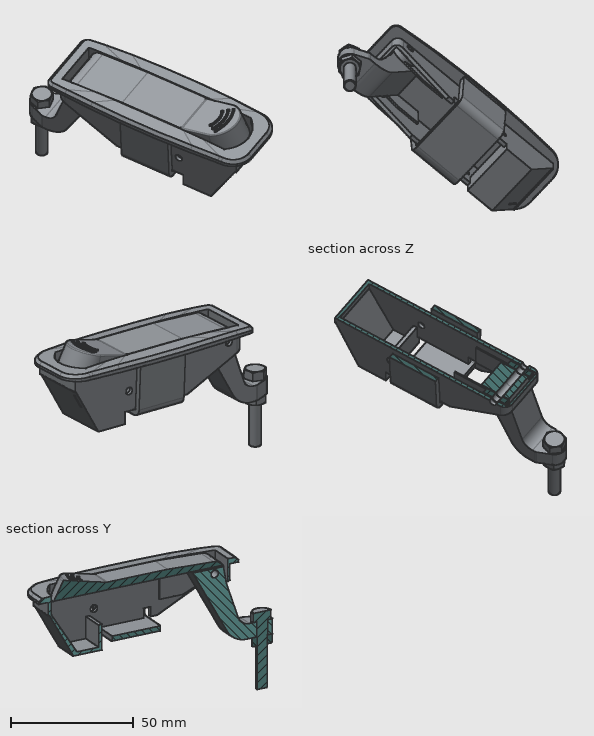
import cadquery as cq
import math


bezel_length = 93.1
bezel_width = 35.0
bezel_half_width = bezel_width / 2
bezel_left_half_width = 15.3
bezel_right_half_width = 15.9
bezel_left_radius = 3.3
bezel_right_radius = 9.0
bezel_height = 3.6
bezel_chamfer = 1.3

side_slope = 0.09
end_slope = 0.047
blend_side_slope = 0.056
blend_end_slope = 0.024
left_crease_x = 25.4
right_crease_x = 67.1
blend_offset = 4.6

opening_left = 5.1
opening_half_width = 10.4
opening_straight_end = 82.3
opening_right = 87.2

box_left = 3.9
box_right = 88.9
box_half_width = 12.1
box_corner_radius = 3.4
wall = 1.7
left_wall_bottom = -7.1
floor_z = -20.6
slope_end_x = 32.2
tail_left = 63.7
tail_right = 77.1
tail_bottom = -25.9
rear_step_x = 88.4
rear_wall_bottom = -5.7
tail_front_wall_top = -14.5

pin_hole_diameter = 3.2
pivot_x = 11.1
pivot_z = -2.9
rear_hole_x = 61.6
rear_hole_z = -11.8

notch_left = 35.1
notch_length = 3.3
notch_height = 4.3
slot_y = 8.6
slot_width = 0.7
slot_top = -8.7

strap_left = 36.4
strap_length = 22.7
strap_thickness = 2.4
strap_top_half_width = 16.6
strap_bottom_half_width = 15.4
strap_outer_radius = 3.6
strap_inner_radius = 0.9

handle_half_width = 10.0
hub_x = 11.8
hub_radius = 5.6
handle_flat_start = 33.2
handle_underside = 0.0
pad_seam_x = 61.0
pad_start = 61.5
pad_angle = 13.6
pad_blend_radius = 2.2
pad_top_right = 81.3
pad_top_z = 9.3
pad_top_straight_end = 73.8
pad_base_straight_end = 76.3
pad_base_right = 86.3
pad_edge_radius = 0.5
cheek_inner_y = 7.3
cheek_thickness = 0.8
cheek_bottom = -12.4
cheek_slope_end = 21.8
cheek_right = 32.7

ridge_width = 0.8
ridge_end_diameter = 1.2
ridge_height = 0.3
ridge_end_xs = (72.3, 74.2, 76.1)
ridge_half_spans = (4.5, 5.9, 7.0)
ridge_bulges = (1.1, 1.4, 1.6)

arm_half_width = 7.2
arm_top = -0.4
arm_top_left = 7.0
arm_knee_x = 5.6
arm_knee_z = -8.2
arm_inner_corner_x = -1.2
arm_outer_corner_x = 2.4
arm_rise = 22.3
arm_outer_run = 12.4
arm_inner_bend = 5.3
arm_outer_bend = 10.7
lug_top = -27.9
lug_bottom = -34.8
lug_radius = 4.9
lug_taper_end = -6.6
lug_shoulder_radius = 1.6

bolt_x = -11.0
shank_diameter = 5.0
shank_bottom = -57.9
shank_chamfer = 0.3
hex_flats = 8.3
head_height = 4.0
head_turn = 42.0
nut_height = 3.9
hex_bevel_diameter = 8.1
hex_bevel_angle = 30.0

pick_margin = 0.1


def side_profile(points, half_width):
    """Prism with an XZ outline, centred on the middle plane."""
    return cq.Workplane("XZ").polyline(points).close().extrude(half_width, both=True)


def edges_at(x, z):
    """Selector of the edges along Y that cross the middle plane at (x, z)."""
    return cq.selectors.BoxSelector(
        (x - pick_margin, -pick_margin, z - pick_margin), (x + pick_margin, pick_margin, z + pick_margin)
    )


def cross_hole(x, z):
    """Pin-hole cutter running through everything along Y."""
    return (
        cq.Workplane("XZ").center(x, z).circle(pin_hole_diameter / 2).extrude(box_half_width * 2, both=True)
    )


def above_plane(x, y, slope_x, slope_y):
    """Half space above a tilted plane that passes through (x, y) at the bezel height."""
    plane = cq.Plane(origin=(x, y, bezel_height), xDir=(1, 0, slope_x), normal=(-slope_x, -slope_y, 1))
    return cq.Workplane(plane).rect(4 * bezel_length, 4 * bezel_length).extrude(bezel_height * 4)


def make_bezel():
    straight_end = bezel_length - bezel_right_radius
    middle_x = bezel_length / 2
    bezel = (
        cq.Workplane("XY")
        .moveTo(0, -bezel_left_half_width)
        .threePointArc((middle_x, -bezel_half_width), (straight_end, -bezel_right_half_width))
        .radiusArc((bezel_length, bezel_right_radius - bezel_right_half_width), -bezel_right_radius)
        .lineTo(bezel_length, bezel_right_half_width - bezel_right_radius)
        .radiusArc((straight_end, bezel_right_half_width), -bezel_right_radius)
        .threePointArc((middle_x, bezel_half_width), (0, bezel_left_half_width))
        .close()
        .extrude(bezel_height)
        .edges("|Z and <X")
        .fillet(bezel_left_radius)
    )
    for crease_x, fall in ((left_crease_x, end_slope), (right_crease_x, -end_slope)):
        bezel = bezel.cut(above_plane(crease_x, 0, fall, 0))
    for side in (-1, 1):
        edge_y = side * opening_half_width
        bezel = bezel.cut(above_plane(middle_x, edge_y, 0, -side * side_slope))
        for blend_x, fall in (
            (left_crease_x + blend_offset, blend_end_slope),
            (right_crease_x - blend_offset, -blend_end_slope),
        ):
            bezel = bezel.cut(above_plane(blend_x, edge_y, fall, -side * blend_side_slope))
    inner_y = bezel_left_half_width - bezel_chamfer / 2
    creases = cq.selectors.BoxSelector(
        (bezel_chamfer, -inner_y, 0), (opening_right, inner_y, 2 * bezel_height)
    )
    upper_edges = cq.selectors.BoxSelector(
        (-pick_margin, -2 * bezel_half_width, bezel_height / 2 + pick_margin),
        (bezel_length + pick_margin, 2 * bezel_half_width, 2 * bezel_height),
    )
    return bezel.edges(upper_edges - creases).chamfer(bezel_chamfer)


def make_box():
    outer = side_profile(
        [
            (box_left, 0),
            (box_left, left_wall_bottom),
            (slope_end_x, floor_z),
            (tail_left, floor_z),
            (tail_left, tail_bottom),
            (tail_right, tail_bottom),
            (rear_step_x, rear_wall_bottom),
            (box_right, rear_wall_bottom),
            (box_right, 0),
        ],
        box_half_width,
    )
    return outer.edges("|Z and <X").fillet(box_corner_radius)


def make_cavity():
    return side_profile(
        [
            (opening_left, 0),
            (opening_left, tail_bottom),
            (tail_left, tail_bottom),
            (tail_left, tail_front_wall_top),
            (tail_left + wall, tail_front_wall_top),
            (tail_left + wall, tail_bottom + wall),
            (tail_right - wall, tail_bottom + wall),
            (box_right - wall, rear_wall_bottom),
            (box_right - wall, 0),
        ],
        opening_half_width,
    )


def make_opening():
    return (
        cq.Workplane("XY")
        .moveTo(opening_left, -opening_half_width)
        .lineTo(opening_straight_end, -opening_half_width)
        .threePointArc((opening_right, 0), (opening_straight_end, opening_half_width))
        .lineTo(opening_left, opening_half_width)
        .close()
        .extrude(2 * bezel_height)
    )


def make_housing():
    notch = (
        cq.Workplane("XY", origin=(notch_left, -box_half_width, floor_z))
        .box(notch_length, 2 * wall, notch_height, centered=(False, True, False))
    )
    slot_size = (box_right - tail_right, slot_width, slot_top - tail_front_wall_top)
    slot = (
        cq.Workplane("XY", origin=(tail_right, slot_y, tail_front_wall_top))
        .box(*slot_size, centered=(False, True, False))
    )
    return (
        make_bezel()
        .union(make_box())
        .cut(make_cavity())
        .cut(make_opening())
        .cut(cross_hole(pivot_x, pivot_z))
        .cut(cross_hole(rear_hole_x, rear_hole_z))
        .cut(notch)
        .cut(slot)
    )


def strap_prism(half_top, half_bottom, bottom_z, radius):
    """Solid prism along X, narrowing downwards from Z = 0, with round bottom corners."""
    return (
        cq.Workplane("YZ", origin=(strap_left, 0, 0))
        .polyline([(-half_top, 0), (-half_bottom, bottom_z), (half_bottom, bottom_z), (half_top, 0)])
        .close()
        .extrude(strap_length)
        .edges("|X and <Z")
        .fillet(radius)
    )


def make_strap():
    outer = strap_prism(
        strap_top_half_width, strap_bottom_half_width, floor_z - strap_thickness, strap_outer_radius
    )
    inner = strap_prism(
        strap_top_half_width - strap_thickness,
        strap_bottom_half_width - strap_thickness,
        floor_z,
        strap_inner_radius,
    )
    return outer.cut(inner)


def pad_plan(z, straight_end, right):
    """Plan wire of the pad at height z, with a round right end."""
    return (
        cq.Workplane("XY", origin=(0, 0, z))
        .moveTo(pad_seam_x, -handle_half_width)
        .lineTo(straight_end, -handle_half_width)
        .threePointArc((right, 0), (straight_end, handle_half_width))
        .lineTo(pad_seam_x, handle_half_width)
        .close()
        .val()
    )


def make_ridge(end_x, half_span, bulge):
    """Curved upright bar with round ends, later trimmed to the pad slope."""
    left_x = end_x - ridge_width / 2
    right_x = end_x + ridge_width / 2
    bar = (
        cq.Workplane("XY")
        .moveTo(left_x, -half_span)
        .threePointArc((left_x + bulge, 0), (left_x, half_span))
        .lineTo(right_x, half_span)
        .threePointArc((right_x + bulge, 0), (right_x, -half_span))
        .close()
        .extrude(pad_top_z)
    )
    ends = (
        cq.Workplane("XY")
        .pushPoints([(end_x, -half_span), (end_x, half_span)])
        .circle(ridge_end_diameter / 2)
        .extrude(pad_top_z)
    )
    return bar.union(ends)


def make_pad(slope_end_x, slope_end_z):
    """Sloping thumb pad with a rounded rim and a tapered, round right end."""
    plan = cq.Workplane(
        cq.Solid.makeLoft(
            [
                pad_plan(handle_underside, pad_base_straight_end, pad_base_right),
                pad_plan(pad_top_z, pad_top_straight_end, pad_top_right),
            ],
            True,
        )
    )
    pad = side_profile(
        [
            (pad_seam_x, handle_underside),
            (pad_seam_x, bezel_height),
            (pad_start, bezel_height),
            (slope_end_x, slope_end_z),
            (slope_end_x, handle_underside),
        ],
        handle_half_width,
    )
    pad = pad.edges(edges_at(pad_start, bezel_height)).fillet(pad_blend_radius).intersect(plan)
    slope_face = cq.selectors.BoxSelector(
        (pad_start, -pick_margin, bezel_height + pad_edge_radius), (pad_top_right, pick_margin, pad_top_z)
    )
    rim = cq.selectors.BoxSelector(
        (pad_start + pad_edge_radius, -box_half_width, bezel_height), (slope_end_x, box_half_width, pad_top_z)
    )
    return pad.faces(slope_face).edges(rim).fillet(pad_edge_radius)


def make_cheeks():
    """Two thin plates that hang from the handle beside the arm."""
    outline = [
        (hub_x, handle_underside),
        (hub_x, pivot_z - hub_radius),
        (cheek_slope_end, cheek_bottom),
        (cheek_right, cheek_bottom),
        (cheek_right, handle_underside),
    ]
    outer = side_profile(outline, cheek_inner_y + cheek_thickness)
    return outer.cut(side_profile(outline, cheek_inner_y))


def make_handle():
    slope_end_x = pad_base_right
    slope_end_z = bezel_height + math.tan(math.radians(pad_angle)) * (slope_end_x - pad_start)
    plate = side_profile(
        [
            (hub_x, handle_underside),
            (hub_x, pivot_z + hub_radius),
            (handle_flat_start, bezel_height),
            (pad_seam_x, bezel_height),
            (pad_seam_x, handle_underside),
        ],
        handle_half_width,
    )
    hub = (
        cq.Workplane("XZ").center(hub_x, pivot_z).circle(hub_radius).extrude(handle_half_width, both=True)
    )
    arm_gap = cq.Workplane("XY", origin=(hub_x, 0, handle_underside)).rect(
        2 * hub_radius, 2 * cheek_inner_y
    )
    hub = hub.cut(arm_gap.extrude(-2 * hub_radius))
    handle = plate.union(make_pad(slope_end_x, slope_end_z)).union(hub).union(make_cheeks())
    ridge_layer = side_profile(
        [
            (pad_start, bezel_height),
            (slope_end_x, slope_end_z),
            (slope_end_x, slope_end_z + ridge_height),
            (pad_start, bezel_height + ridge_height),
        ],
        handle_half_width,
    )
    for end_x, half_span, bulge in zip(ridge_end_xs, ridge_half_spans, ridge_bulges):
        handle = handle.union(make_ridge(end_x, half_span, bulge).intersect(ridge_layer))
    return handle.cut(cross_hole(pivot_x, pivot_z))


def make_arm():
    arm = side_profile(
        [
            (bolt_x - lug_radius, lug_bottom),
            (arm_outer_corner_x, lug_bottom),
            (arm_outer_corner_x + arm_outer_run, lug_bottom + arm_rise),
            (arm_outer_corner_x + arm_outer_run * (arm_top - lug_bottom) / arm_rise, arm_top),
            (arm_top_left, arm_top),
            (arm_knee_x, arm_knee_z),
            (arm_inner_corner_x, lug_top),
            (bolt_x - lug_radius, lug_top),
        ],
        arm_half_width,
    )
    for corner_x, corner_z, bend in (
        (arm_inner_corner_x, lug_top, arm_inner_bend),
        (arm_outer_corner_x, lug_bottom, arm_outer_bend),
    ):
        arm = arm.edges(edges_at(corner_x, corner_z)).fillet(bend)
    reach = lug_taper_end - bolt_x
    tangent_angle = math.atan2(arm_half_width, reach) + math.acos(
        lug_radius / math.hypot(reach, arm_half_width)
    )
    tangent_x = bolt_x + lug_radius * math.cos(tangent_angle)
    tangent_y = lug_radius * math.sin(tangent_angle)
    shoulders = cq.selectors.BoxSelector(
        (lug_taper_end - pick_margin, -2 * arm_half_width, lug_bottom),
        (lug_taper_end + pick_margin, 2 * arm_half_width, lug_bottom / 4),
    )
    plan = (
        cq.Workplane("XY", origin=(0, 0, lug_bottom))
        .moveTo(bezel_length, -arm_half_width)
        .lineTo(lug_taper_end, -arm_half_width)
        .lineTo(tangent_x, -tangent_y)
        .threePointArc((bolt_x - lug_radius, 0), (tangent_x, tangent_y))
        .lineTo(lug_taper_end, arm_half_width)
        .lineTo(bezel_length, arm_half_width)
        .close()
        .extrude(-lug_bottom)
        .edges("|Z")
        .edges(shoulders)
        .fillet(lug_shoulder_radius)
    )
    bolt_hole = cq.Workplane("XY", origin=(bolt_x, 0, lug_bottom)).circle(shank_diameter / 2)
    arm = arm.intersect(plan)
    return arm.cut(bolt_hole.extrude(lug_top - lug_bottom)).cut(cross_hole(pivot_x, pivot_z))


def make_hex(bottom_z, height, turn, bevel_top):
    """Hexagonal prism on the bolt axis with a conical bevel on one end."""
    corner_diameter = hex_flats / math.cos(math.pi / 6)
    bevel_inset = (corner_diameter - hex_bevel_diameter) / 2
    bevel_height = bevel_inset * math.tan(math.radians(hex_bevel_angle))
    bevel = (
        cq.Workplane("XY")
        .circle(corner_diameter / 2)
        .extrude(height)
        .faces(">Z" if bevel_top else "<Z")
        .chamfer(bevel_height, bevel_inset)
    )
    prism = cq.Workplane("XY").polygon(6, corner_diameter).extrude(height)
    return prism.intersect(bevel).rotate((0, 0, 0), (0, 0, 1), turn).translate((bolt_x, 0, bottom_z))


def make_bolt():
    shank = (
        cq.Workplane("XY", origin=(bolt_x, 0, shank_bottom))
        .circle(shank_diameter / 2)
        .extrude(lug_top - shank_bottom)
        .faces("<Z")
        .chamfer(shank_chamfer)
    )
    return shank.union(make_hex(lug_top, head_height, head_turn, True))


def make_nut():
    nut_bottom = lug_bottom - nut_height
    hole = cq.Workplane("XY", origin=(bolt_x, 0, nut_bottom)).circle(shank_diameter / 2)
    return make_hex(nut_bottom, nut_height, 0, False).cut(hole.extrude(nut_height))


housing = make_housing()
strap = make_strap()
handle = make_handle()
arm = make_arm()
bolt = make_bolt()
nut = make_nut()

result = cq.Compound.makeCompound(
    [body.solids().val() for body in (housing, strap, handle, arm, bolt, nut)]
)